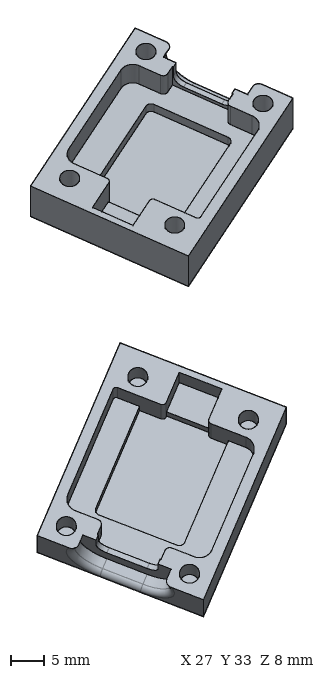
import cadquery as cq

width = 27.0
length = 33
height = 8.0

cavity_depth = 4.82
cavity_half_width = 11.68
cavity_front = 6.73
cavity_back = 27.2
cavity_corner_radius = 2.0
cavity_small_corner_radius = 0.5

notch_left = -3.43
notch_right = 3.5
notch_front = 1
notch_mouth_radius = 0.6
neck_half_width = 5.18
neck_back = 29.45
neck_mouth_radius = 0.8

well_depth = 6.8
well_left = -6.83
well_right = 7.6
well_front = 6.0
well_back = 24.98
well_corner_radius = 0.9

opening_half_width = 5.0
opening_depth = 4.05
opening_corner_radius = 1.75
arc_center_x = opening_half_width - opening_corner_radius
arc_center_depth = opening_depth - opening_corner_radius
recess_radius = 4.52
recess_front = 30.33
flare_radius = 1

hole_diameter = 3.0
hole_depth = cavity_depth
back_hole_x = 10.0
back_hole_y = 29.95
front_hole_x = 8.98
front_hole_y = 4.03


def box_between(x_min, x_max, y_min, y_max, depth):
    """Box sunk from the top face to the given depth."""
    return (
        cq.Workplane("XY")
        .box(x_max - x_min, y_max - y_min, depth, centered=False)
        .translate((x_min, y_min, height - depth))
    )


def cavity_shape(depth):
    """Cavity with its notch and neck, rounded in plan."""
    main = box_between(-cavity_half_width, cavity_half_width, cavity_front, cavity_back, depth)
    notch = box_between(notch_left, notch_right, notch_front, cavity_back, depth)
    neck = box_between(-neck_half_width, neck_half_width, cavity_front, neck_back, depth)
    shape = main.union(notch).union(neck)

    rounded_corners = (
        (-cavity_half_width, cavity_back, cavity_corner_radius),
        (cavity_half_width, cavity_back, cavity_corner_radius),
        (-cavity_half_width, cavity_front, cavity_corner_radius),
        (cavity_half_width, cavity_front, cavity_small_corner_radius),
        (notch_left, cavity_front, notch_mouth_radius),
        (notch_right, cavity_front, notch_mouth_radius),
        (-neck_half_width, cavity_back, neck_mouth_radius),
        (neck_half_width, cavity_back, neck_mouth_radius),
    )
    for x, y, radius in rounded_corners:
        corner = cq.selectors.NearestToPointSelector((x, y, height - depth / 2))
        shape = shape.edges("|Z").edges(corner).fillet(radius)
    return shape


def well_shape():
    """Deeper pocket, trimmed at the front by the cavity walls."""
    well = box_between(well_left, well_right, well_front, well_back, well_depth)
    well = well.edges("|Z and >Y").fillet(well_corner_radius)
    return well.intersect(cavity_shape(well_depth))


def opening_shape():
    """U-shaped cut, open at the top, from the neck out through the back face."""
    return (
        box_between(-opening_half_width, opening_half_width, neck_back, length, opening_depth)
        .edges("|Y and <Z")
        .fillet(opening_corner_radius)
    )


def recess_shape():
    """Round-ended slot along Y that flares out towards the back face."""
    slot_length = 2 * (arc_center_x + recess_radius)
    slot_height = 2 * recess_radius
    wall_size = 2 * slot_length
    back_plane = cq.Plane(
        origin=(0, length, height - arc_center_depth),
        xDir=(-1, 0, 0),
        normal=(0, 1, 0),
    )
    wall = cq.Workplane(back_plane).rect(wall_size, wall_size).extrude(recess_front - length)
    slot = cq.Workplane(back_plane).slot2D(slot_length, slot_height).extrude(recess_front - length)
    slotted_wall = wall.cut(slot)
    flared_wall = slotted_wall.faces(">Y").edges("%CIRCLE").fillet(flare_radius)
    return wall.cut(flared_wall)


body = cq.Workplane("XY").box(width, length, height, centered=(True, False, False))
body = body.cut(recess_shape())
body = body.cut(opening_shape())
body = body.cut(cavity_shape(cavity_depth))
body = body.cut(well_shape())

hole_centers = [
    (side * x, y)
    for x, y in ((back_hole_x, back_hole_y), (front_hole_x, front_hole_y))
    for side in (-1, 1)
]
holes = (
    cq.Workplane("XY", origin=(0, 0, height))
    .pushPoints(hole_centers)
    .circle(hole_diameter / 2)
    .extrude(-hole_depth)
)
result = body.cut(holes)